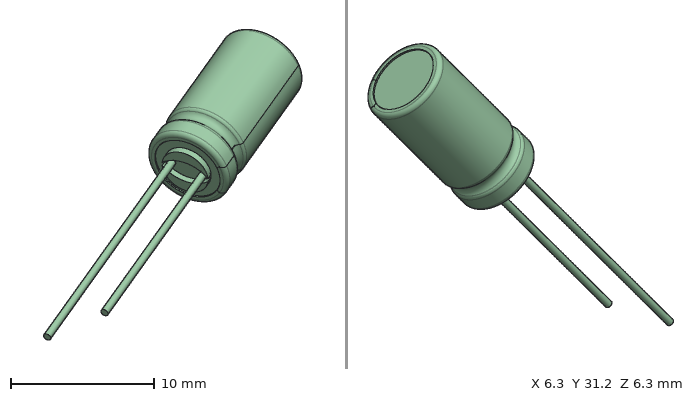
import cadquery as cq
import math

total_length = 31.22
sleeve_length = 11.83
sleeve_radius = 3.15
bore_radius = 5.1 / 2
edge_radius = 0.35
end_recess = 0.12

groove_distance = 2.2
groove_depth = 0.37
groove_arc_radius = 0.6

stripe_half_height = 1.25
stripe_bend_x = 2.47
stripe_inner_x = 2.22
stripe_inner_half_height = 0.97

bung_radius = 3.6 / 2
bung_protrusion = 0.37
slot_arc_radius = 5.0 / 2
slot_half_height = 0.9
slot_depth = 0.47

lead_radius = 0.55 / 2
lead_offset = 1.25
short_lead_setback = 3.95

back_end = total_length / 2
front_end = back_end - sleeve_length
can_front = front_end + end_recess
can_back = back_end - end_recess
bung_front = front_end - bung_protrusion
lead_tip = -total_length / 2
groove_y = front_end + groove_distance


def cylinder(radius, y_start, y_end, x=0.0, z=0.0):
    """Cylinder along Y between two stations."""
    disc = cq.Workplane("XZ", origin=(x, y_start, z)).circle(radius)
    return disc.extrude(y_start - y_end)


def make_jacket():
    """Full ring of the sleeve and stripe together, with rounded ends and a rolled groove."""
    floor_radius = sleeve_radius - groove_depth
    arc_center_radius = floor_radius + groove_arc_radius
    shoulder_center_radius = sleeve_radius - edge_radius

    center_distance = groove_arc_radius + edge_radius
    shoulder_width = math.sqrt(center_distance**2 - (arc_center_radius - shoulder_center_radius) ** 2)
    blend_share = groove_arc_radius / center_distance
    blend_width = shoulder_width * blend_share
    blend_radius = arc_center_radius - (arc_center_radius - shoulder_center_radius) * blend_share

    profile = (
        cq.Workplane("XY")
        .moveTo(bore_radius, front_end)
        .lineTo(shoulder_center_radius, front_end)
        .radiusArc((sleeve_radius, front_end + edge_radius), -edge_radius)
        .lineTo(sleeve_radius, groove_y - shoulder_width)
        .radiusArc((blend_radius, groove_y - blend_width), -edge_radius)
        .radiusArc((floor_radius, groove_y), groove_arc_radius)
        .radiusArc((blend_radius, groove_y + blend_width), groove_arc_radius)
        .radiusArc((sleeve_radius, groove_y + shoulder_width), -edge_radius)
        .lineTo(sleeve_radius, back_end - edge_radius)
        .radiusArc((shoulder_center_radius, back_end), -edge_radius)
        .lineTo(bore_radius, back_end)
        .close()
    )
    return profile.revolve(360, (0, 0, 0), (0, 1, 0))


def make_stripe_region():
    """Prism on the +X side that separates the stripe from the sleeve."""
    return (
        cq.Workplane("XZ", origin=(0, front_end, 0))
        .moveTo(stripe_inner_x, -stripe_inner_half_height)
        .lineTo(stripe_bend_x, -stripe_half_height)
        .lineTo(sleeve_radius, -stripe_half_height)
        .lineTo(sleeve_radius, stripe_half_height)
        .lineTo(stripe_bend_x, stripe_half_height)
        .lineTo(stripe_inner_x, stripe_inner_half_height)
        .close()
        .extrude(-sleeve_length)
    )


def make_can():
    """Plain cylinder that fills the bore of the sleeve."""
    return cylinder(bore_radius, can_front, can_back)


def make_bung():
    """Disc on the can, divided by a lens-shaped slot, with a thin floor left under the slot."""
    disc = cylinder(bung_radius, bung_front, can_front)
    arc_offset = slot_arc_radius - slot_half_height
    slot_floor = bung_front + slot_depth
    upper_arc = cylinder(slot_arc_radius, bung_front, slot_floor, z=-arc_offset)
    lower_arc = cylinder(slot_arc_radius, bung_front, slot_floor, z=arc_offset)
    return disc.cut(upper_arc.intersect(lower_arc))


def make_lead(x, tip_y):
    """Round wire that ends on the face of the can."""
    return cylinder(lead_radius, tip_y, can_front, x=x)


jacket = make_jacket()
stripe_region = make_stripe_region()
sleeve = jacket.cut(stripe_region)
stripe = jacket.intersect(stripe_region)
can = make_can()

lead_places = [(-lead_offset, lead_tip), (lead_offset, lead_tip + short_lead_setback)]
leads = [make_lead(x, tip_y) for x, tip_y in lead_places]

bung = make_bung()
for lead in leads:
    bung = bung.cut(lead)

result = cq.Compound.makeCompound(
    [sleeve.val(), stripe.val(), can.val(), bung.val(), *[lead.val() for lead in leads]]
)